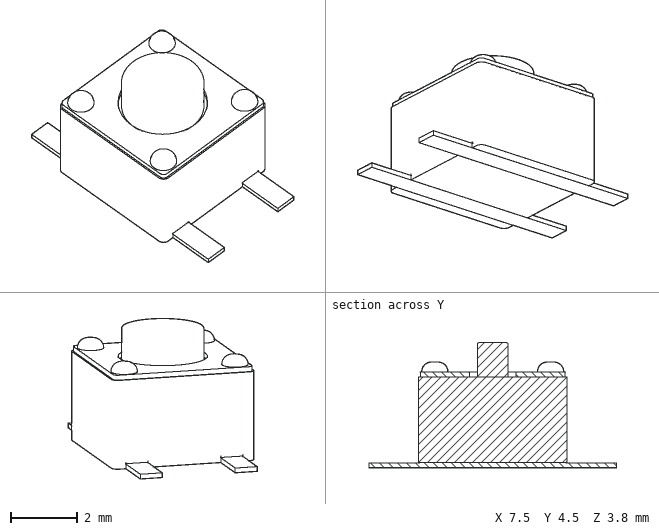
import cadquery as cq

housing_side = 4.5
housing_height = 2.75
housing_corner_radius = 0.2

cover_inset = 0.05
cover_thickness = 0.15
cover_side = housing_side - 2 * cover_inset
cover_corner_radius = housing_corner_radius - cover_inset
cover_top = housing_height + cover_thickness
button_opening_diameter = 2.7
rivet_diameter = 0.8
rivet_height = 0.3
rivet_spacing = 3.5

button_diameter = 2.5
button_top = 3.8
button_edge_round = 0.05

lead_length = 7.5
lead_width = 0.7
lead_thickness = 0.15
lead_spacing = 3.0
slot_edge_round = 0.05
lead_positions = [-lead_spacing / 2, lead_spacing / 2]


def rounded_square(side, height, corner_radius):
    """Square block on the XY plane with rounded vertical edges."""
    block = cq.Workplane("XY").box(side, side, height, centered=(True, True, False))
    return block.edges("|Z").fillet(corner_radius)


def make_lead(y_position):
    """Flat strip running through the housing and out of both sides."""
    strip = cq.Workplane("XY").box(lead_length, lead_width, lead_thickness, centered=(True, True, False))
    return strip.translate((0, y_position, 0))


def make_lead_slot(y_position):
    """Open-bottomed channel as tall as its lead, with the ceiling edge rounded at both mouths."""
    mouth_x = housing_side / 2
    ceiling_x = mouth_x - slot_edge_round
    mouth_height = lead_thickness + slot_edge_round
    profile = (
        cq.Workplane("XZ", origin=(0, y_position, 0))
        .moveTo(-mouth_x, 0)
        .lineTo(mouth_x, 0)
        .lineTo(mouth_x, mouth_height)
        .radiusArc((ceiling_x, lead_thickness), slot_edge_round)
        .lineTo(-ceiling_x, lead_thickness)
        .radiusArc((-mouth_x, mouth_height), slot_edge_round)
        .close()
    )
    return profile.extrude(lead_width / 2, both=True)


def make_housing():
    """Rounded block with a slot across the bottom for each lead."""
    body = rounded_square(housing_side, housing_height, housing_corner_radius)
    for y_position in lead_positions:
        body = body.cut(make_lead_slot(y_position))
    return body


def make_rivet_heads():
    """Domed heads near the four corners, each a quarter arc revolved around a small flat."""
    flat_radius = rivet_diameter / 2 - rivet_height
    head = (
        cq.Workplane("XZ")
        .lineTo(rivet_diameter / 2, 0)
        .radiusArc((flat_radius, rivet_height), -rivet_height)
        .lineTo(0, rivet_height)
        .close()
        .revolve(360, (0, 0), (0, 1))
    )
    corners = cq.Workplane("XY", origin=(0, 0, cover_top)).rect(
        rivet_spacing, rivet_spacing, forConstruction=True
    )
    return corners.vertices().eachpoint(lambda place: head.val().moved(place))


def make_cover():
    """Plate on top of the housing with a clearance opening for the button."""
    plate = rounded_square(cover_side, cover_thickness, cover_corner_radius)
    plate = plate.faces(">Z").workplane().hole(button_opening_diameter)
    return plate.translate((0, 0, housing_height)).union(make_rivet_heads())


def make_button():
    """Round plunger standing on the housing, with a rounded top edge."""
    plunger = (
        cq.Workplane("XY", origin=(0, 0, housing_height))
        .circle(button_diameter / 2)
        .extrude(button_top - housing_height)
    )
    return plunger.faces(">Z").edges().fillet(button_edge_round)


housing = make_housing()
cover = make_cover()
button = make_button()
leads = [make_lead(y_position) for y_position in lead_positions]

result = cq.Compound.makeCompound(
    [housing.val(), cover.val(), button.val(), *[lead.val() for lead in leads]]
)